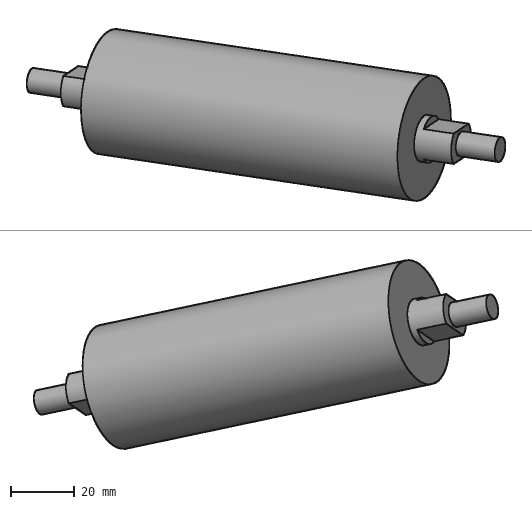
import cadquery as cq

overall_length = 163.0
body_length = 110.2
body_diameter = 40.0
collar_diameter = 15.0
collar_length = 12.9
pin_diameter = 8.0

flat_length = 10.5
flat_thickness = 10.1


def centred_cylinder(diameter, length):
    return cq.Workplane("YZ", origin=(-length / 2, 0, 0)).circle(diameter / 2).extrude(length)


def flat_cutter(end, side):
    """Block removed above (side=1) or below (side=-1) a flat at the given X end."""
    outer_x = body_length / 2 + collar_length
    centre_x = end * (outer_x - flat_length / 2)
    centre_z = side * (flat_thickness + collar_diameter) / 2
    block = cq.Workplane("XY").box(flat_length, collar_diameter, collar_diameter)
    return block.translate((centre_x, 0, centre_z))


collars = centred_cylinder(collar_diameter, body_length + 2 * collar_length)
for end in (-1, 1):
    for side in (-1, 1):
        collars = collars.cut(flat_cutter(end, side))

body = centred_cylinder(body_diameter, body_length)
pins = centred_cylinder(pin_diameter, overall_length)
result = body.union(collars).union(pins)